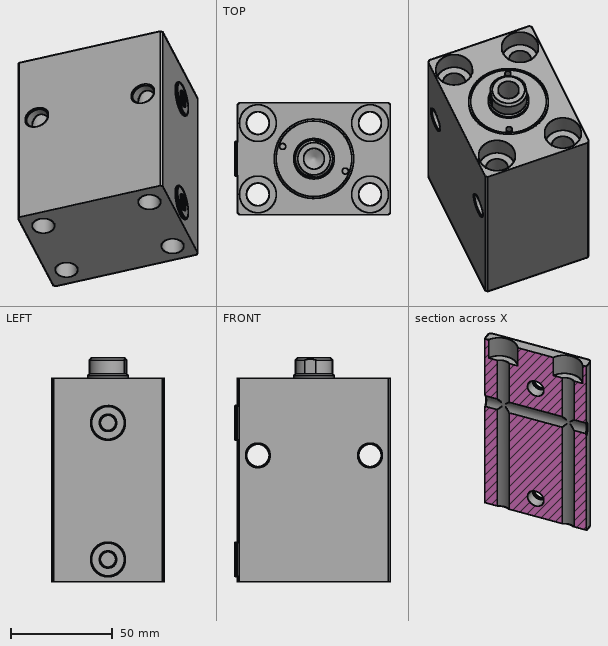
import cadquery as cq
import math


HOUSING_LENGTH = 75.0
HOUSING_WIDTH = 55.0
HOUSING_HEIGHT = 100.0
CORNER_CHAMFER = 1.0

BOLT_HOLE_DIAMETER = 11.0
BOLT_SPACING_X = 55.0
BOLT_SPACING_Y = 35.0
COUNTERBORE_DIAMETER = 18.0
COUNTERBORE_DEPTH = 11.0
CROSS_HOLE_DROP = 38.0
CROSS_HOLE_CHAMFER = 0.5

GLAND_DIAMETER = 39.0
GLAND_DEPTH = 24.2
GLAND_CHAMFER = 1.0
SPANNER_HOLE_DIAMETER = 3.0
SPANNER_HOLE_DEPTH = 4.4
SPANNER_HOLE_RADIUS = 16.5
SPANNER_HOLE_ANGLE = -21.5

ROD_DIAMETER = 19.9
ROD_TOP = 110.0
COLLAR_PROTRUSION = 1.2
NECK_DIAMETER = 18.3
NECK_CHAMFER = 1.2
FLAT_WIDTH = 17.4
FLAT_ANGLE = -11.9
ROD_HOLE_DIAMETER = 10.2
ROD_HOLE_DEPTH = 16.5
DRILL_POINT_ANGLE = 118.0

PORT_HEIGHTS = (11.0, 78.0)
PORT_DIAMETER = 8.6
PORT_DEPTH = 11.0
RING_OUTER_DIAMETER = 17.0
RING_INNER_DIAMETER = 7.5
RING_THICKNESS = 1.4
RING_CHAMFER = 0.5

GLAND_BOTTOM = HOUSING_HEIGHT - GLAND_DEPTH
PORT_FACE_X = -HOUSING_LENGTH / 2


def upright_cylinder(diameter, bottom, height):
    return cq.Workplane("XY").workplane(offset=bottom).circle(diameter / 2).extrude(height)


def make_port(height):
    """Flat-bottomed hole running inwards from the -X face."""
    return (
        cq.Workplane("YZ", origin=(PORT_FACE_X, 0, height))
        .circle(PORT_DIAMETER / 2)
        .extrude(PORT_DEPTH)
    )


def make_port_ring(height):
    """Flat ring around a port, with all four of its edges chamfered."""
    return (
        cq.Workplane("YZ", origin=(PORT_FACE_X - RING_THICKNESS, 0, height))
        .circle(RING_OUTER_DIAMETER / 2)
        .circle(RING_INNER_DIAMETER / 2)
        .extrude(RING_THICKNESS)
        .faces("<X or >X").edges().chamfer(RING_CHAMFER)
    )


def make_cross_hole(x):
    """Hole along Y through the block, chamfered at both mouths."""
    radius = BOLT_HOLE_DIAMETER / 2
    mouth = radius + CROSS_HOLE_CHAMFER
    half_width = HOUSING_WIDTH / 2
    straight_end = half_width - CROSS_HOLE_CHAMFER
    return (
        cq.Workplane("XY")
        .polyline([
            (0, -half_width),
            (mouth, -half_width),
            (radius, -straight_end),
            (radius, straight_end),
            (mouth, half_width),
            (0, half_width),
        ])
        .close()
        .revolve(360, (0, 0, 0), (0, 1, 0))
        .translate((x, 0, HOUSING_HEIGHT - CROSS_HOLE_DROP))
    )


def make_housing():
    housing = (
        cq.Workplane("XY")
        .box(HOUSING_LENGTH, HOUSING_WIDTH, HOUSING_HEIGHT, centered=(True, True, False))
        .edges("|Z").chamfer(CORNER_CHAMFER)
        .faces(">Z").workplane()
        .rarray(BOLT_SPACING_X, BOLT_SPACING_Y, 2, 2)
        .cboreHole(BOLT_HOLE_DIAMETER, COUNTERBORE_DIAMETER, COUNTERBORE_DEPTH)
    )
    for side in (-1, 1):
        housing = housing.cut(make_cross_hole(side * BOLT_SPACING_X / 2))
    housing = housing.cut(upright_cylinder(GLAND_DIAMETER, GLAND_BOTTOM, GLAND_DEPTH))
    for height in PORT_HEIGHTS:
        housing = housing.cut(make_port(height))
    return housing


def make_gland():
    gland = (
        upright_cylinder(GLAND_DIAMETER, GLAND_BOTTOM, GLAND_DEPTH)
        .faces(">Z").edges().chamfer(GLAND_CHAMFER)
    )
    spanner_holes = (
        cq.Workplane("XY")
        .workplane(offset=HOUSING_HEIGHT - SPANNER_HOLE_DEPTH)
        .polarArray(SPANNER_HOLE_RADIUS, SPANNER_HOLE_ANGLE, 360, 2)
        .circle(SPANNER_HOLE_DIAMETER / 2)
        .extrude(SPANNER_HOLE_DEPTH)
    )
    rod_bore = upright_cylinder(ROD_DIAMETER, GLAND_BOTTOM, GLAND_DEPTH)
    return gland.cut(rod_bore).cut(spanner_holes)


def make_rod():
    rod_radius = ROD_DIAMETER / 2
    neck_radius = NECK_DIAMETER / 2
    hole_radius = ROD_HOLE_DIAMETER / 2
    collar_edge = HOUSING_HEIGHT + COLLAR_PROTRUSION
    neck_bottom = collar_edge + rod_radius - neck_radius
    hole_bottom = ROD_TOP - ROD_HOLE_DEPTH
    hole_tip = hole_bottom - hole_radius / math.tan(math.radians(DRILL_POINT_ANGLE / 2))

    rod = (
        cq.Workplane("XZ")
        .polyline([
            (0, GLAND_BOTTOM),
            (rod_radius, GLAND_BOTTOM),
            (rod_radius, collar_edge),
            (neck_radius, neck_bottom),
            (neck_radius, ROD_TOP - NECK_CHAMFER),
            (neck_radius - NECK_CHAMFER, ROD_TOP),
            (hole_radius, ROD_TOP),
            (hole_radius, hole_bottom),
            (0, hole_tip),
        ])
        .close()
        .revolve(360, (0, 0, 0), (0, 1, 0))
    )

    neck_height = ROD_TOP - neck_bottom
    flats = (
        upright_cylinder(ROD_DIAMETER, neck_bottom, neck_height)
        .cut(
            cq.Workplane("XY")
            .workplane(offset=neck_bottom)
            .rect(ROD_DIAMETER, FLAT_WIDTH)
            .extrude(neck_height)
        )
        .rotate((0, 0, 0), (0, 0, 1), FLAT_ANGLE)
    )
    return rod.cut(flats)


housing = make_housing()
gland = make_gland()
rod = make_rod()
port_rings = [make_port_ring(height) for height in PORT_HEIGHTS]

result = cq.Compound.makeCompound(
    [housing.val(), gland.val(), rod.val(), *[ring.val() for ring in port_rings]]
)